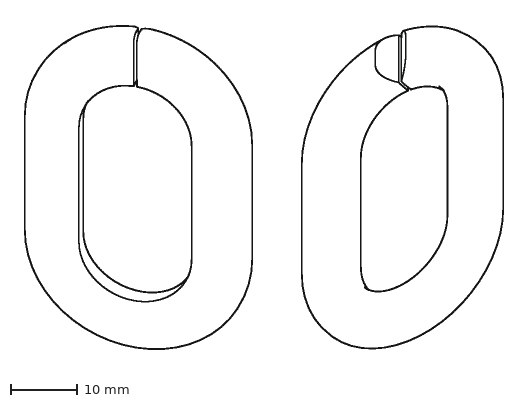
import cadquery as cq

length = 55.88
width = 35.56
thickness = 5.08
band_width = 8.89

front_outer_radius = 1.27
back_radius = 3.175

slit_width = 0.508
vee_depth = 2.54
vee_half_width = slit_width / 2 + vee_depth

opening_length = length - 2 * band_width
opening_width = width - 2 * band_width


def oval_plate(plate_length, plate_width):
    """Plate with semicircular ends, long axis along Z, spanning the thickness in Y."""
    return (
        cq.Workplane("XZ")
        .slot2D(plate_length, plate_width, 90)
        .extrude(-thickness)
    )


def rounded_band():
    """Oval ring: both back rims and the outer front rim rounded, inner front rim sharp."""
    body = oval_plate(length, width).faces("<Y").edges().fillet(front_outer_radius)
    ring = body.cut(oval_plate(opening_length, opening_width))
    return ring.faces(">Y").edges().fillet(back_radius)


def split_cutter():
    """Slit and vee profile in the XY plane, extruded upward through the upper bend."""
    half_slit = slit_width / 2
    vee_root = thickness - vee_depth
    return (
        cq.Workplane("XY")
        .polyline([
            (-half_slit, 0),
            (half_slit, 0),
            (half_slit, vee_root),
            (vee_half_width, thickness),
            (-vee_half_width, thickness),
            (-half_slit, vee_root),
        ])
        .close()
        .extrude(length / 2)
    )


result = rounded_band().cut(split_cutter())